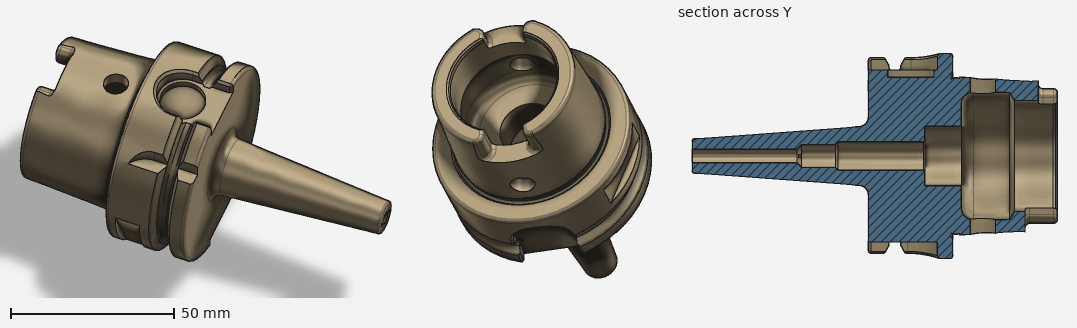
import cadquery as cq
import math


TOTAL_LENGTH = 112.0
FLANGE_START = 32.0
FLANGE_END = 58.0

SHANK_END_RADIUS = 22.7
SHANK_RIM_FILLET = 1.2
SHANK_TAPER = 0.05
TAPER_END = 30.0
RELIEF_RADIUS = 23.7
RELIEF_END = 30.8
COLLAR_RADIUS = 24.1
COLLAR_END = 31.2
FACE_RECESS_INNER_RADIUS = 23.7
FACE_RECESS_RADIUS = 25.4
FACE_RECESS_DEPTH = 0.6

FLANGE_RADIUS = 31.5
FLANGE_FILLET = 1.0
GROOVE_CENTRE = 49.8
GROOVE_FLOOR_HALF = 1.8
GROOVE_FLOOR_RADIUS = 27.4
GROOVE_WAIST_RADIUS = 28.9
GROOVE_WALL_ANGLE = 60.0
GROOVE_FLOOR_FILLET = 1.0
GROOVE_LIP = 0.3

NECK_RADIUS = 9.1
NECK_FILLET = 2.8
NOSE_END_RADIUS = 5.3
NOSE_FILLET = 0.7

BORE_RADIUS = 17.0
BORE_RIM_RADIUS = 17.9
BORE_RIM_DEPTH = 0.6
BORE_LEAD_RADIUS = 17.4
BORE_LEAD_DEPTH = 1.3
CHAMBER_START = 13.2
CHAMBER_RADIUS = 19.5
CHAMBER_SHOULDER_ANGLE = 60.0
CHAMBER_FLOOR_FILLET = 3.7
BORE_DEPTH = 29.5
TUBE_BORE_RADIUS = 9.1
TUBE_BORE_DEPTH = 11.2
SCREW_BORE_RADIUS = 4.4
SCREW_BORE_CHAMFER = 0.3
SCREW_BORE_END = 67.2
STEP_BORE_RADIUS = 3.5
STEP_BORE_END = 78.4
THROUGH_RADIUS = 2.0
COOLANT_RADIUS = 0.5
COOLANT_OFFSET = 2.9

SLOT_HALF_WIDTH = 6.2
SLOT_LIP_RADIUS = 2.7
SLOT_FLOOR_FILLET = 1.3
TOP_SLOT_DEPTH = 5.8
BOTTOM_SLOT_DEPTH = 9.9

CROSS_HOLE_X = 22.8
CROSS_HOLE_RADIUS = 3.8

POCKET_FLOOR = 26.4
POCKET_START = 36.8
TOP_POCKET_HALF_WIDTH = 8.1
BOTTOM_POCKET_HALF_WIDTH = 9.1
POCKET_CHAMFER = 0.9
RECESS_RADIUS = 7.0
RECESS_DEPTH = 2.2

NOTCH_OFFSET = 20.0
NOTCH_TANGENT_X = 43.8
NOTCH_CUTTER_RADIUS = 8.0
FLAT_START = 35.4
FLAT_LENGTH = 8.0
FLAT_DISTANCE = 29.0
FLAT_ANGLE = 22.0

CLEAR = 44.8


def x_cylinder(radius, start, end, y=0.0):
    return cq.Workplane("YZ", origin=(start, y, 0)).circle(radius).extrude(end - start)


def revolve_about_x(profile):
    return profile.close().revolve(360, (0, 0, 0), (1, 0, 0))


def make_drive_slot(side, depth):
    """Slot across one side of the shank rim whose mouth flares with rounded lips."""
    lip_centre_y = SLOT_HALF_WIDTH + SLOT_LIP_RADIUS
    lip_centre_z = math.sqrt((SHANK_END_RADIUS - SLOT_LIP_RADIUS) ** 2 - lip_centre_y**2)
    bend = SLOT_LIP_RADIUS * math.sqrt(0.5)
    lip_top = lip_centre_z + SLOT_LIP_RADIUS
    plane = cq.Plane(origin=(0, 0, 0), xDir=(0, 1, 0), normal=(1, 0, 0))
    cutter = (
        cq.Workplane(plane)
        .lineTo(SLOT_HALF_WIDTH, 0)
        .lineTo(SLOT_HALF_WIDTH, lip_centre_z)
        .threePointArc((lip_centre_y - bend, lip_centre_z + bend), (lip_centre_y, lip_top))
        .lineTo(lip_centre_y + SLOT_LIP_RADIUS, lip_top)
        .lineTo(lip_centre_y + SLOT_LIP_RADIUS, CLEAR)
        .lineTo(0, CLEAR)
        .close()
        .extrude(depth)
    )
    cutter = cutter.union(cutter.mirror("XZ"))
    floor_edges = cq.selectors.BoxSelector(
        (depth - 0.1, -lip_centre_y - 0.1, 1.1), (depth + 0.1, lip_centre_y + 0.1, lip_top + 0.1)
    )
    cutter = cutter.edges(floor_edges).fillet(SLOT_FLOOR_FILLET)
    return cutter if side > 0 else cutter.mirror("XY")


def make_shank():
    recess_floor = FLANGE_START + FACE_RECESS_DEPTH
    taper_end_radius = SHANK_END_RADIUS + SHANK_TAPER * TAPER_END
    body = revolve_about_x(
        cq.Workplane("XY")
        .lineTo(0, SHANK_END_RADIUS)
        .lineTo(TAPER_END, taper_end_radius)
        .lineTo(TAPER_END, RELIEF_RADIUS)
        .lineTo(RELIEF_END, COLLAR_RADIUS)
        .lineTo(COLLAR_END, COLLAR_RADIUS)
        .lineTo(recess_floor, FACE_RECESS_INNER_RADIUS)
        .lineTo(recess_floor, 0)
    )
    body = body.cut(make_drive_slot(1, TOP_SLOT_DEPTH))
    body = body.cut(make_drive_slot(-1, BOTTOM_SLOT_DEPTH))
    return body.faces("<X").edges().fillet(SHANK_RIM_FILLET)


def make_flange():
    body = x_cylinder(FLANGE_RADIUS, FLANGE_START, FLANGE_END)
    return body.faces("<X or >X").edges().fillet(FLANGE_FILLET)


def cut_pocket(flange, side, half_width):
    """Round-ended pocket through the flange's +X face; side is +1 for +Z and -1 for -Z."""
    centre = POCKET_START + half_width
    plane = cq.Plane(origin=(centre, 0, 0), xDir=(1, 0, 0), normal=(0, 0, side))
    cutter = (
        cq.Workplane(plane)
        .workplane(offset=POCKET_FLOOR)
        .moveTo(CLEAR, half_width)
        .lineTo(0, half_width)
        .threePointArc((-half_width, 0), (0, -half_width))
        .lineTo(CLEAR, -half_width)
        .close()
        .extrude(CLEAR)
    )
    flange = flange.cut(cutter)
    margin = half_width + 0.1
    rim_low = math.sqrt(FLANGE_RADIUS**2 - half_width**2) - 0.1
    z_low, z_high = sorted((side * rim_low, side * (FLANGE_RADIUS + 0.1)))
    rim = cq.selectors.BoxSelector(
        (POCKET_START - 0.1, -margin, z_low), (FLANGE_END - FLANGE_FILLET, margin, z_high)
    )
    return flange.edges(rim).chamfer(POCKET_CHAMFER)


def make_groove():
    """V groove ring that ends in a straight-sided, rounded channel and has a bevelled mouth."""
    wall_slope = 1 / math.tan(math.radians(GROOVE_WALL_ANGLE))
    wall_top = FLANGE_RADIUS - GROOVE_LIP
    wall_top_half = GROOVE_FLOOR_HALF + (wall_top - GROOVE_WAIST_RADIUS) * wall_slope
    mouth_half = wall_top_half + GROOVE_LIP
    right_side = [
        (GROOVE_FLOOR_HALF, GROOVE_FLOOR_RADIUS),
        (GROOVE_FLOOR_HALF, GROOVE_WAIST_RADIUS),
        (wall_top_half, wall_top),
        (mouth_half, FLANGE_RADIUS),
        (mouth_half, FLANGE_RADIUS + 1.1),
    ]
    left_side = [(-x, r) for x, r in reversed(right_side)]
    points = [(GROOVE_CENTRE + x, r) for x, r in left_side + right_side]
    ring = revolve_about_x(cq.Workplane("XY").polyline(points))
    reach = GROOVE_FLOOR_HALF + 0.1
    floor_edges = cq.selectors.BoxSelector(
        (GROOVE_CENTRE - reach, -GROOVE_FLOOR_RADIUS - 0.1, -GROOVE_FLOOR_RADIUS - 0.1),
        (GROOVE_CENTRE + reach, GROOVE_FLOOR_RADIUS + 0.1, GROOVE_FLOOR_RADIUS + 0.1),
        boundingbox=True,
    )
    return ring.edges(floor_edges).fillet(GROOVE_FLOOR_FILLET)


def make_face_recess():
    """Bevelled recess in the flange face; the shank fills its middle and leaves a ring."""
    floor = FLANGE_START + FACE_RECESS_DEPTH
    return revolve_about_x(
        cq.Workplane("XY")
        .moveTo(FLANGE_START, 0)
        .lineTo(FLANGE_START, FACE_RECESS_RADIUS)
        .lineTo(floor, FACE_RECESS_RADIUS - FACE_RECESS_DEPTH)
        .lineTo(floor, 0)
    )


def make_nose():
    bend = NECK_FILLET * (1 - math.sqrt(0.5))
    neck_start = FLANGE_END + NECK_FILLET
    body = revolve_about_x(
        cq.Workplane("XY")
        .moveTo(FLANGE_END - 1.1, 0)
        .lineTo(FLANGE_END - 1.1, NECK_RADIUS + NECK_FILLET)
        .lineTo(FLANGE_END, NECK_RADIUS + NECK_FILLET)
        .threePointArc((FLANGE_END + bend, NECK_RADIUS + bend), (neck_start, NECK_RADIUS))
        .lineTo(TOTAL_LENGTH, NOSE_END_RADIUS)
        .lineTo(TOTAL_LENGTH, 0)
    )
    return body.faces(">X").edges().fillet(NOSE_FILLET)


def make_bores():
    shoulder = (CHAMBER_RADIUS - BORE_RADIUS) / math.tan(math.radians(CHAMBER_SHOULDER_ANGLE))
    bore = revolve_about_x(
        cq.Workplane("XY")
        .lineTo(0, BORE_RIM_RADIUS)
        .lineTo(BORE_RIM_DEPTH, BORE_LEAD_RADIUS)
        .lineTo(BORE_LEAD_DEPTH, BORE_RADIUS)
        .lineTo(CHAMBER_START, BORE_RADIUS)
        .lineTo(CHAMBER_START + shoulder, CHAMBER_RADIUS)
        .lineTo(BORE_DEPTH, CHAMBER_RADIUS)
        .lineTo(BORE_DEPTH, 0)
    )
    bore = bore.faces(">X").edges().fillet(CHAMBER_FLOOR_FILLET)
    tube_end = BORE_DEPTH + TUBE_BORE_DEPTH
    step_cone = SCREW_BORE_RADIUS - STEP_BORE_RADIUS
    tip_cone = STEP_BORE_RADIUS - THROUGH_RADIUS
    passage = revolve_about_x(
        cq.Workplane("XY")
        .moveTo(BORE_DEPTH, 0)
        .lineTo(BORE_DEPTH, TUBE_BORE_RADIUS)
        .lineTo(tube_end, TUBE_BORE_RADIUS)
        .lineTo(tube_end, SCREW_BORE_RADIUS + SCREW_BORE_CHAMFER)
        .lineTo(tube_end + SCREW_BORE_CHAMFER, SCREW_BORE_RADIUS)
        .lineTo(SCREW_BORE_END, SCREW_BORE_RADIUS)
        .lineTo(SCREW_BORE_END + step_cone, STEP_BORE_RADIUS)
        .lineTo(STEP_BORE_END, STEP_BORE_RADIUS)
        .lineTo(STEP_BORE_END + tip_cone, THROUGH_RADIUS)
        .lineTo(TOTAL_LENGTH, THROUGH_RADIUS)
        .lineTo(TOTAL_LENGTH, 0)
    )
    bores = bore.union(passage)
    for y in (-COOLANT_OFFSET, COOLANT_OFFSET):
        bores = bores.union(x_cylinder(COOLANT_RADIUS, STEP_BORE_END, TOTAL_LENGTH, y))
    return bores


def make_cross_hole():
    return (
        cq.Workplane("XY", origin=(CROSS_HOLE_X, 0, -CLEAR))
        .circle(CROSS_HOLE_RADIUS)
        .extrude(2 * CLEAR)
    )


def make_recess():
    return (
        cq.Workplane("XY", origin=(POCKET_START + TOP_POCKET_HALF_WIDTH, 0, POCKET_FLOOR - RECESS_DEPTH))
        .circle(RECESS_RADIUS)
        .extrude(CLEAR)
    )


def make_corner_notch():
    """Square step on the -Y, +Z corner with an end swept by a round vertical cutter."""
    r = NOTCH_CUTTER_RADIUS
    bend = r * math.sqrt(0.5)
    arc_y = -NOTCH_OFFSET - r
    return (
        cq.Workplane("XY", origin=(0, 0, NOTCH_OFFSET))
        .moveTo(FLANGE_END + 1.1, -NOTCH_OFFSET)
        .lineTo(NOTCH_TANGENT_X, -NOTCH_OFFSET)
        .threePointArc((NOTCH_TANGENT_X - bend, arc_y + bend), (NOTCH_TANGENT_X - r, arc_y))
        .lineTo(NOTCH_TANGENT_X - r, -CLEAR)
        .lineTo(FLANGE_END + 1.1, -CLEAR)
        .close()
        .extrude(CLEAR)
    )


def make_chip_flat():
    block = (
        cq.Workplane("XY")
        .box(FLAT_LENGTH, CLEAR, CLEAR, centered=(False, False, True))
        .translate((FLAT_START, -FLAT_DISTANCE - CLEAR, 0))
    )
    return block.rotate((0, 0, 0), (1, 0, 0), FLAT_ANGLE)


flange = make_flange()
flange = cut_pocket(flange, 1, TOP_POCKET_HALF_WIDTH)
flange = cut_pocket(flange, -1, BOTTOM_POCKET_HALF_WIDTH)
flange = flange.cut(make_groove()).cut(make_face_recess())

result = make_shank().union(flange).union(make_nose())
result = result.cut(make_bores())
for cutter in (make_cross_hole(), make_recess(), make_corner_notch(), make_chip_flat()):
    result = result.cut(cutter)